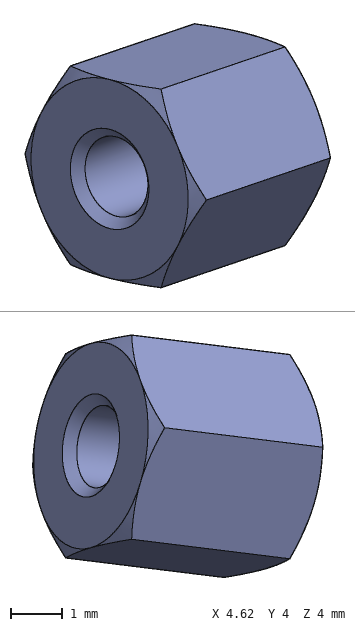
import cadquery as cq
import math

across_corners = 4.62
across_flats = across_corners * math.cos(math.radians(30))
length = across_flats
hole_diameter = 1.6
countersink_diameter = 2.0
countersink_angle = 90.0
corner_chamfer_angle = 30.0


def hex_body():
    """Hexagonal prism centred on the origin."""
    return cq.Workplane("XZ").polygon(6, across_corners).extrude(length / 2, both=True)


def chamfer_envelope():
    """Turned blank whose conical ends bevel the hexagon corners."""
    corner_radius = across_corners / 2
    face_radius = across_flats / 2
    chamfer_depth = (corner_radius - face_radius) * math.tan(math.radians(corner_chamfer_angle))
    half_length = length / 2
    shoulder = half_length - chamfer_depth
    profile = cq.Workplane("XY").polyline([
        (0, -half_length),
        (face_radius, -half_length),
        (corner_radius, -shoulder),
        (corner_radius, shoulder),
        (face_radius, half_length),
        (0, half_length),
    ]).close()
    return profile.revolve(360, (0, 0, 0), (0, 1, 0))


def countersunk_hole(body):
    """Through hole with a countersink at both ends."""
    body = body.faces("<Y").workplane(centerOption="CenterOfBoundBox").cskHole(
        hole_diameter, countersink_diameter, countersink_angle)
    return body.faces(">Y").workplane(centerOption="CenterOfBoundBox").cskHole(
        hole_diameter, countersink_diameter, countersink_angle)


result = countersunk_hole(hex_body().intersect(chamfer_envelope()))